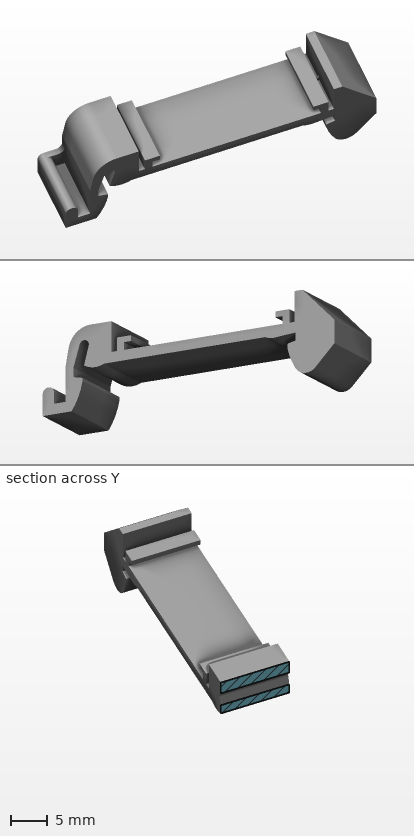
import cadquery as cq
import math


width = 10.3
length = 45.7
height = 11.95

web_bottom = 6.05
web_top = 7.55

jaw_face_u = 6.25
jaw_top_width = 1.25
jaw_slope_run = jaw_face_u - jaw_top_width
jaw_back_bottom = 3.56
jaw_toe_radius = 2.03
jaw_toe_end_angle = math.radians(-28)
notch_u = 6.07
notch_floor = 4.87
notch_ceiling = 6.0

fixed_nose_u = 7.35
nose_chamfer_start_z = 4.62
nose_chamfer_run = 0.15
nose_top = 4.53
spring_nose_bottom = 4.1
fixed_nose_bottom = 3.9
hook_radius = 10.0

pad_bottom = 5.76
pad_radius = 3.3
near_pad_u = 9.5
far_pad_u = 37.4

rib_top = 9.48
rib_lip_bottom = 8.65
rib_stem = 1.08
rib_reach = 2.2
rib_near_u = 7.05
rib_far_u = 34.05

arm_face_u = 34.95
arm_top_end_u = 38.2
arm_lean = math.radians(10.5)
arm_bend_radius = 3.5
arm_wall_u = 42.1
arm_inner_u = 40.87
arm_inner_top = 6.2
arm_inner_bottom = 4.84

slot_radius = 0.73
slot_lean = math.radians(15)
slot_center_u = 39.2
slot_center_z = 9.15
slot_mouth_z = 6.25

lip_top = 3.96
lip_fillet = 1.0
lip_round = 0.85
spring_nose_u = 39.45
spring_hook_foot_u = 41.17

pry_start = 0.95
pry_floor = web_top - web_bottom
lip_thickness = 1.8
pry_lip_u = length - lip_thickness
pry_edge_u = pry_lip_u + lip_round

corner_rib_start = 4.55
corner_rib_width = 0.4
gusset_leg = 0.64
nub_high_z = 5.13
nub_low_z = 4.93
nub_end_u = 6.95


def prism(outline, start, thickness):
    """Extrude a (u, z) outline in +X, beginning `start` away from the -X face."""
    return outline.extrude(-thickness).translate((start, 0, 0))


def sketch_plane():
    """Plane on the -X face with u along -Y and z along Z."""
    origin = (-width / 2, length / 2, 0)
    return cq.Workplane(cq.Plane(origin=origin, xDir=(0, -1, 0), normal=(-1, 0, 0)))


def body():
    """Constant profile: fixed jaw, web, spring arm and lip."""
    diagonal = math.sqrt(0.5)
    toe_u = jaw_back_bottom - jaw_toe_radius + jaw_toe_radius / diagonal
    toe_start = (toe_u - jaw_toe_radius * diagonal, jaw_toe_radius * (1 - diagonal))
    toe_end = (
        toe_u + jaw_toe_radius * math.cos(jaw_toe_end_angle),
        jaw_toe_radius * (1 + math.sin(jaw_toe_end_angle)),
    )
    bend_mid = (math.pi / 2 - arm_lean) / 2
    bend_mid_point = (
        arm_top_end_u + arm_bend_radius * math.sin(bend_mid),
        height - arm_bend_radius * (1 - math.cos(bend_mid)),
    )
    bend_end_u = arm_top_end_u + arm_bend_radius * math.cos(arm_lean)
    bend_end_z = height - arm_bend_radius * (1 - math.sin(arm_lean))
    lean_bottom_z = bend_end_z - (arm_wall_u - bend_end_u) / math.tan(arm_lean)
    side_u = slot_radius * math.cos(slot_lean)
    side_z = slot_radius * math.sin(slot_lean)
    slot_outer = (slot_center_u + side_u, slot_center_z + side_z)
    slot_end = (slot_center_u - side_z, slot_center_z + side_u)
    slot_inner = (slot_center_u - side_u, slot_center_z - side_z)
    slot_mouth_u = slot_inner[0] + (slot_inner[1] - slot_mouth_z) * math.tan(slot_lean)
    pad_half_width = math.sqrt(pad_radius**2 - (pad_radius - (web_bottom - pad_bottom))**2)

    outline = (
        sketch_plane()
        .moveTo(0, jaw_back_bottom)
        .lineTo(0, height - jaw_slope_run)
        .lineTo(jaw_slope_run, height)
        .lineTo(jaw_face_u, height)
        .lineTo(jaw_face_u, web_top)
        .lineTo(arm_face_u, web_top)
        .lineTo(arm_face_u, height)
        .lineTo(arm_top_end_u, height)
        .threePointArc(bend_mid_point, (bend_end_u, bend_end_z))
        .lineTo(arm_wall_u, lean_bottom_z)
        .lineTo(arm_wall_u, lip_top + lip_fillet)
        .radiusArc((arm_wall_u + lip_fillet, lip_top), -lip_fillet)
        .lineTo(length - lip_round, lip_top)
        .radiusArc((length, lip_top - lip_round), lip_round)
        .lineTo(length, 0)
        .lineTo(spring_hook_foot_u, 0)
        .radiusArc((spring_nose_u, spring_nose_bottom), hook_radius)
        .lineTo(spring_nose_u, nose_top)
        .lineTo(arm_inner_u, arm_inner_bottom)
        .lineTo(arm_inner_u, arm_inner_top)
        .lineTo(*slot_outer)
        .threePointArc(slot_end, slot_inner)
        .lineTo(slot_mouth_u, slot_mouth_z)
        .threePointArc((far_pad_u, pad_bottom), (far_pad_u - pad_half_width, web_bottom))
        .lineTo(near_pad_u + pad_half_width, web_bottom)
        .radiusArc((near_pad_u, pad_bottom), pad_radius)
        .lineTo(notch_u, notch_ceiling)
        .lineTo(notch_u, notch_floor)
        .lineTo(fixed_nose_u - nose_chamfer_run, nose_chamfer_start_z)
        .lineTo(fixed_nose_u, nose_top)
        .lineTo(fixed_nose_u, fixed_nose_bottom)
        .radiusArc(toe_end, hook_radius)
        .threePointArc((toe_u, 0), toe_start)
        .close()
    )
    return prism(outline, 0, width)


def retaining_rib(outer_u, direction):
    """L-shaped rib; `direction` is the sign of u in which its lip points."""
    stem_u = outer_u + direction * rib_stem
    tip_u = outer_u + direction * rib_reach
    outline = sketch_plane().polyline([
        (outer_u, web_bottom),
        (outer_u, rib_top),
        (tip_u, rib_top),
        (tip_u, rib_lip_bottom),
        (stem_u, rib_lip_bottom),
        (stem_u, web_bottom),
    ]).close()
    return prism(outline, 0, width)


def pry_slot():
    """Slot between arm and lip; it leaves the lip rounded along both top edges."""
    slot_ceiling = lip_top + lip_fillet
    outline = (
        sketch_plane()
        .moveTo(arm_wall_u, pry_floor)
        .lineTo(pry_lip_u, pry_floor)
        .lineTo(pry_lip_u, lip_top - lip_round)
        .radiusArc((pry_edge_u, lip_top), lip_round)
        .lineTo(pry_edge_u, slot_ceiling)
        .lineTo(arm_wall_u, slot_ceiling)
        .close()
    )
    return prism(outline, pry_start, width - pry_start)


def gusset():
    """Small triangle between the jaw face and the top of the web."""
    outline = sketch_plane().polyline([
        (jaw_face_u, web_top),
        (jaw_face_u, web_top + gusset_leg),
        (jaw_face_u + gusset_leg, web_top),
    ]).close()
    return prism(outline, corner_rib_start, corner_rib_width)


def notch_nub():
    """Low bump on the floor of the fixed jaw's notch."""
    outline = sketch_plane().polyline([
        (notch_u, nose_top),
        (notch_u, nub_high_z),
        (nub_end_u, nub_low_z),
        (nub_end_u, nose_top),
    ]).close()
    return prism(outline, corner_rib_start, corner_rib_width)


result = (
    body()
    .union(retaining_rib(rib_near_u, 1))
    .union(retaining_rib(rib_far_u, -1))
    .union(gusset())
    .union(notch_nub())
    .cut(pry_slot())
)